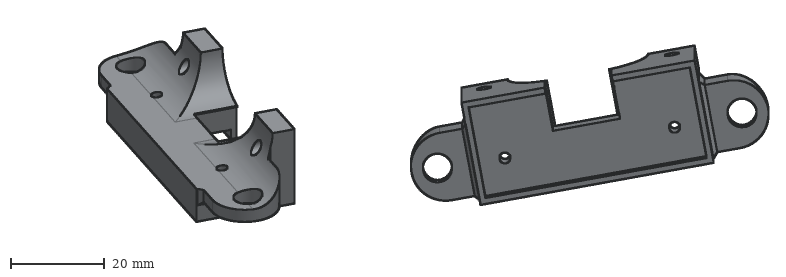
import cadquery as cq

length = 77.45
depth = 22.6
height = 17.9

body_length = 50.65
plate_top = 7.9
post_thickness = 5.0
fillet_radius = height - plate_top
post_front = depth - post_thickness
fillet_start = post_front - fillet_radius
post_inner = 15.25
notch_width = 13.5
notch_depth = 10.0
lip_overhang = 0.55

wing_radius = 7.4
wing_y = 8.7
wing_bottom = 4.95
flare = 1.0

mount_diameter = 6.2
mount_x = 33.1
pin_diameter = 2.3
pin_x = 18.4
cross_diameter = 3.0
cross_x = 20.4
cross_z = 12.4

wall = 1.3
pocket_height = 2.4


def box(x_size, y_start, y_end, z_start, z_end):
    """Box centred on X, spanning the given Y and Z ranges."""
    return cq.Workplane("XY").box(
        x_size, y_end - y_start, z_end - z_start, centered=(True, False, False)
    ).translate((0, y_start, z_start))


def wing_blank():
    """Long rounded slab whose two ends form the wings."""
    return (
        cq.Workplane("XY", origin=(0, wing_y, wing_bottom))
        .slot2D(length, 2 * wing_radius)
        .extrude(height - wing_bottom)
    )


def root_flare():
    """45 degree flare joining the right wing to the body end."""
    root_width = 2 * (wing_radius + flare)
    root_bottom = wing_bottom - flare
    root_height = height + flare - root_bottom
    return (
        cq.Workplane("YZ", origin=(body_length / 2, wing_y, root_bottom + root_height / 2))
        .rect(root_width, root_height)
        .extrude(flare, taper=45)
        .intersect(box(length, 0, depth, 0, height))
    )


def lengthwise_clearance():
    """Concave sweep along X that leaves the plate, wings and post fronts."""
    return (
        cq.Workplane("YZ", origin=(-length / 2, 0, 0))
        .moveTo(0, plate_top)
        .lineTo(fillet_start, plate_top)
        .radiusArc((post_front, height), -fillet_radius)
        .lineTo(0, height)
        .close()
        .extrude(length)
    )


def post_gap():
    """Opening between the posts, with concave sides, cut along Y."""
    floor_half = post_inner - fillet_radius
    return (
        cq.Workplane("XZ")
        .moveTo(-floor_half, plate_top)
        .lineTo(floor_half, plate_top)
        .radiusArc((post_inner, height), -fillet_radius)
        .lineTo(-post_inner, height)
        .radiusArc((-floor_half, plate_top), -fillet_radius)
        .close()
        .extrude(-depth)
    )


def vertical_holes(diameter, x):
    """Pair of through holes on the wing centreline."""
    return (
        cq.Workplane("XY", origin=(0, wing_y, 0))
        .pushPoints([(-x, 0), (x, 0)])
        .circle(diameter / 2)
        .extrude(height)
    )


def cross_holes():
    """Horizontal holes through the posts."""
    return (
        cq.Workplane("XZ")
        .pushPoints([(-cross_x, cross_z), (cross_x, cross_z)])
        .circle(cross_diameter / 2)
        .extrude(-depth)
    )


right_flare = root_flare()
blank = (
    box(body_length, 0, depth, 0, height)
    .union(wing_blank())
    .union(right_flare)
    .union(right_flare.mirror("YZ"))
)

notch = box(notch_width, depth - notch_depth, depth, 0, height)
undercut = box(notch_width + 2 * lip_overhang, depth - notch_depth, depth, 0, plate_top)
pocket = box(body_length - 2 * wall, wall, depth - wall, 0, pocket_height)

result = (
    blank
    .cut(lengthwise_clearance())
    .cut(post_gap())
    .cut(notch)
    .cut(undercut)
    .cut(pocket)
    .cut(vertical_holes(mount_diameter, mount_x))
    .cut(vertical_holes(pin_diameter, pin_x))
    .cut(cross_holes())
)